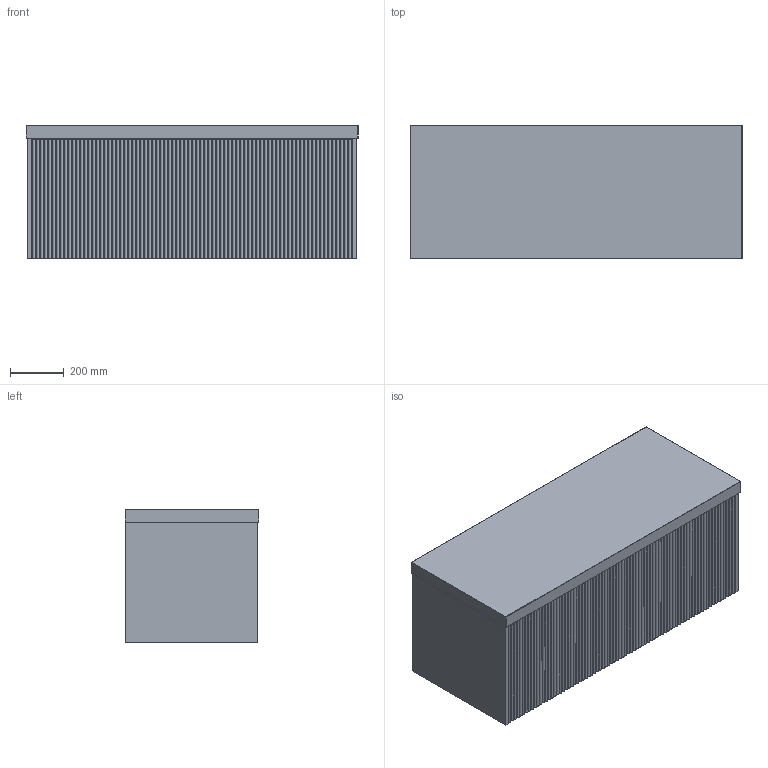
import cadquery as cq

WIDTH = 1240.0
DEPTH = 500.0
HEIGHT = 500.0

TOP_THICKNESS = 50.0
TOP_OVERHANG = 5.0
TOP_CHAMFER = 1.0

PANEL_THICKNESS = 15.0
PANEL_HEIGHT = HEIGHT - TOP_THICKNESS
PANEL_SPREAD = WIDTH - 2 * TOP_OVERHANG
OPENING_WIDTH = PANEL_SPREAD - 2 * PANEL_THICKNESS

DOOR_COUNT = 2
DOOR_GAP = 4.0
DOOR_TOP_GAP = 5.0
DOOR_RECESS = 1.0
DOOR_BACKING = 15.0
DOOR_WIDTH = (OPENING_WIDTH - (DOOR_COUNT + 1) * DOOR_GAP) / DOOR_COUNT
DOOR_HEIGHT = PANEL_HEIGHT - DOOR_TOP_GAP

RIBS_PER_DOOR = 40
GROOVE_WIDTH = DOOR_GAP
RIB_PITCH = (DOOR_WIDTH + GROOVE_WIDTH) / RIBS_PER_DOOR
RIB_WIDTH = RIB_PITCH - GROOVE_WIDTH
RIB_RISE = 4.0

RIB_CREST_Y = TOP_OVERHANG + DOOR_RECESS
GROOVE_FLOOR_Y = RIB_CREST_Y + RIB_RISE
DOOR_BACK_Y = GROOVE_FLOOR_Y + DOOR_BACKING


def make_countertop():
    """Slab with every edge lightly broken."""
    slab = cq.Workplane("XY").box(WIDTH, DEPTH, TOP_THICKNESS, centered=(True, False, False))
    return slab.edges().chamfer(TOP_CHAMFER).translate((0, 0, PANEL_HEIGHT))


def make_side_panel(side):
    """Upright end panel; side is -1 for the left end and +1 for the right end."""
    panel = cq.Workplane("XY").box(
        PANEL_THICKNESS, DEPTH - TOP_OVERHANG, PANEL_HEIGHT, centered=(True, False, False)
    )
    centre_x = side * (PANEL_SPREAD - PANEL_THICKNESS) / 2
    return panel.translate((centre_x, TOP_OVERHANG, 0))


def make_door(left_x):
    """Door whose front is a row of arched ribs with flat grooves between them."""
    outline = cq.Workplane("XY").moveTo(left_x, DOOR_BACK_Y)
    for rib in range(RIBS_PER_DOOR):
        start_x = left_x + rib * RIB_PITCH
        crest = (start_x + RIB_WIDTH / 2, RIB_CREST_Y)
        end = (start_x + RIB_WIDTH, GROOVE_FLOOR_Y)
        outline = outline.lineTo(start_x, GROOVE_FLOOR_Y).threePointArc(crest, end)
    outline = outline.lineTo(left_x + DOOR_WIDTH, DOOR_BACK_Y).close()
    return outline.extrude(DOOR_HEIGHT)


countertop = make_countertop()
side_panels = [make_side_panel(side) for side in (-1, 1)]

first_door_x = -OPENING_WIDTH / 2 + DOOR_GAP
door_spacing = DOOR_WIDTH + DOOR_GAP
doors = [make_door(first_door_x + index * door_spacing) for index in range(DOOR_COUNT)]

result = cq.Compound.makeCompound(
    [
        countertop.val(),
        *[panel.val() for panel in side_panels],
        *[door.val() for door in doors],
    ]
)